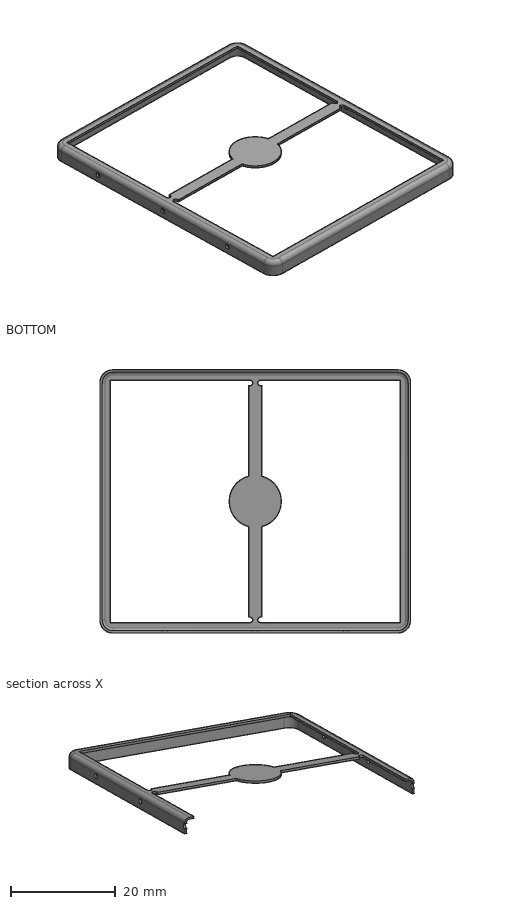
import cadquery as cq

length = 59.5
width = 50.4
height = 3.2
corner_radius = 2.5
edge_round = 1.0
rim_width = 2.0
wall = 0.5
lip_thickness = 0.5

bar_width = 2.5
disc_diameter = 10.0
notch_diameter = 1.0
neck_width = 1.0

hole_diameter = 1.0
hole_spacing = 17.4
hole_height = 1.55

window_length = length - 2 * rim_width
window_width = width - 2 * rim_width
lip_bottom = height - lip_thickness


def make_frame():
    """Rounded tray, hollow from below, with a sharp-cornered window in its top."""
    body = cq.Workplane("XY").rect(length, width).extrude(height)
    body = body.edges("|Z").fillet(corner_radius)
    body = body.faces(">Z").edges().fillet(edge_round)
    cavity = cq.Workplane("XY").rect(length - 2 * wall, width - 2 * wall).extrude(lip_bottom)
    cavity = cavity.edges("|Z").fillet(corner_radius - wall)
    cavity = cavity.faces(">Z").edges().fillet(edge_round - wall)
    window = cq.Workplane("XY").rect(window_length, window_width).extrude(height)
    return body.cut(cavity).cut(window)


def make_notch(x_side, y_side):
    """Round-ended notch that narrows the crossbar to a neck beside the rim."""
    center_x = x_side * (neck_width + notch_diameter) / 2
    center_y = y_side * (window_width - notch_diameter) / 2
    plane = cq.Workplane("XY", origin=(center_x, center_y, lip_bottom))
    round_end = plane.circle(notch_diameter / 2).extrude(lip_thickness)
    open_side = plane.center(x_side * bar_width / 2, 0).rect(bar_width, notch_diameter)
    return round_end.union(open_side.extrude(lip_thickness))


def make_crossbar():
    """Thin bar across the window, carrying a disc at its middle."""
    plane = cq.Workplane("XY", origin=(0, 0, lip_bottom))
    bar = plane.rect(bar_width, window_width + rim_width - edge_round).extrude(lip_thickness)
    for x_side in (-1, 1):
        for y_side in (-1, 1):
            bar = bar.cut(make_notch(x_side, y_side))
    return bar.union(plane.circle(disc_diameter / 2).extrude(lip_thickness))


def make_wall_holes():
    """Row of holes running through both long walls."""
    plane = cq.Workplane("XZ", origin=(0, 0, hole_height))
    centers = [(-hole_spacing, 0), (0, 0), (hole_spacing, 0)]
    return plane.pushPoints(centers).circle(hole_diameter / 2).extrude(width, both=True)


result = make_frame().union(make_crossbar()).cut(make_wall_holes())